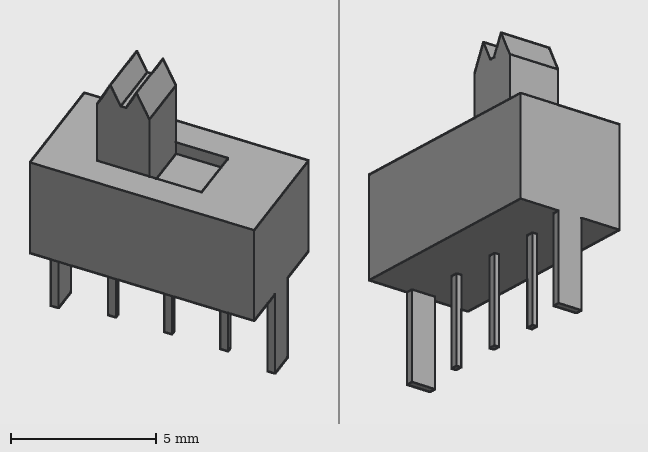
import cadquery as cq

body_length = 8.6
body_width = 4.3
body_height = 4.0

slot_length = 4.0
slot_width = 2.1
slot_depth = 0.5
slot_left = -2.25

actuator_length = 2.0
shoulder_height = 2.51
ridge_height = 1.0
ridge_spacing = actuator_length / 2
groove_floor_width = 0.2
groove_depth = 0.8

pin_length = 3.5
pin_thickness = 0.3
end_pin_width = 1.0
contact_pin_width = 0.2
contact_pitch = 2.15


def make_housing():
    """Rectangular housing with a shallow slot in its top face."""
    housing = cq.Workplane("XY").box(
        body_length, body_width, body_height, centered=(True, True, False)
    )
    slot = (
        cq.Workplane("XY", origin=(slot_left, 0, body_height - slot_depth))
        .box(slot_length, slot_width, slot_depth, centered=(False, True, False))
    )
    return housing.cut(slot)


def make_actuator():
    """Actuator standing on the slot floor, with a flat-bottomed groove between two sharp ridges."""
    floor_z = body_height - slot_depth
    shoulder_z = body_height + shoulder_height
    peak_z = shoulder_z + ridge_height
    groove_z = peak_z - groove_depth

    right = slot_left + actuator_length
    middle = slot_left + actuator_length / 2
    half_spacing = ridge_spacing / 2
    half_floor = groove_floor_width / 2

    profile = [
        (slot_left, floor_z),
        (right, floor_z),
        (right, shoulder_z),
        (middle + half_spacing, peak_z),
        (middle + half_floor, groove_z),
        (middle - half_floor, groove_z),
        (middle - half_spacing, peak_z),
        (slot_left, shoulder_z),
    ]
    return cq.Workplane("XZ").polyline(profile).close().extrude(slot_width / 2, both=True)


def make_pin(x, width):
    """Flat pin hanging from the housing underside, centred on x."""
    return cq.Workplane("XY", origin=(x, 0, -pin_length)).box(
        pin_thickness, width, pin_length, centered=(True, True, False)
    )


result = make_housing().union(make_actuator())

for contact_x in (-contact_pitch, 0, contact_pitch):
    result = result.union(make_pin(contact_x, contact_pin_width))

end_pin_x = (body_length - pin_thickness) / 2
for end_x in (-end_pin_x, end_pin_x):
    result = result.union(make_pin(end_x, end_pin_width))